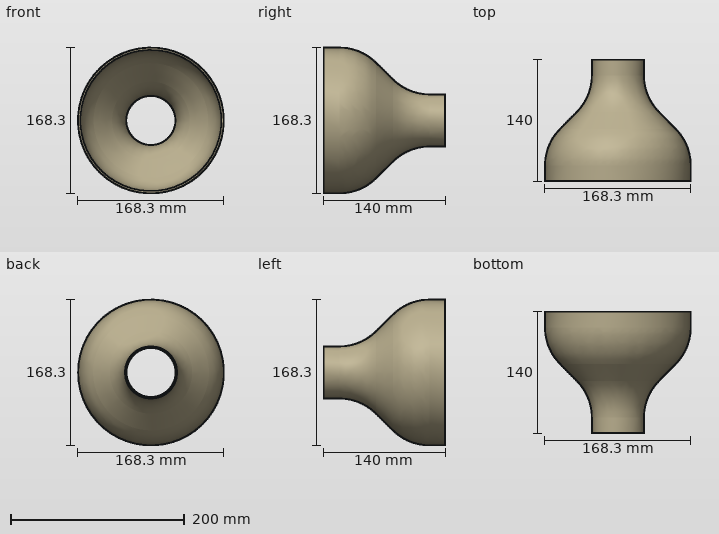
import cadquery as cq
import math

mouth_diameter = 168.3
mouth_bore = 162.5
neck_diameter = 60.3
neck_bore = 56.4
length = 140.0
collar_length = 18.0
bend_radius = 60.0

mouth_radius = mouth_diameter / 2
neck_radius = neck_diameter / 2
mouth_wall = (mouth_diameter - mouth_bore) / 2
neck_wall = (neck_diameter - neck_bore) / 2

mouth_face = -length / 2
neck_face = length / 2
shoulder_start = mouth_face + collar_length
throat_end = neck_face - collar_length


def reducer_body(wide_radius, narrow_radius, shoulder_bend, throat_bend):
    """Solid of revolution: collar, shoulder arc, tangent cone, throat arc, collar."""
    axial = throat_end - shoulder_start
    radial = wide_radius - narrow_radius
    bend_sum = shoulder_bend + throat_bend
    centre_offset = bend_sum - radial
    centre_distance = math.hypot(axial, centre_offset)
    cone_angle = math.asin(bend_sum / centre_distance) - math.atan2(centre_offset, axial)

    def shoulder_point(angle):
        return (
            wide_radius - shoulder_bend * (1 - math.cos(angle)),
            shoulder_start + shoulder_bend * math.sin(angle),
        )

    def throat_point(angle):
        return (
            narrow_radius + throat_bend * (1 - math.cos(angle)),
            throat_end - throat_bend * math.sin(angle),
        )

    return (
        cq.Workplane("XY")
        .moveTo(0, mouth_face)
        .lineTo(wide_radius, mouth_face)
        .lineTo(wide_radius, shoulder_start)
        .threePointArc(shoulder_point(cone_angle / 2), shoulder_point(cone_angle))
        .lineTo(*throat_point(cone_angle))
        .threePointArc(throat_point(cone_angle / 2), (narrow_radius, throat_end))
        .lineTo(narrow_radius, neck_face)
        .lineTo(0, neck_face)
        .close()
        .revolve(360, (0, 0, 0), (0, 1, 0))
    )


outer_body = reducer_body(mouth_radius, neck_radius, bend_radius, bend_radius)

inner_body = reducer_body(
    mouth_radius - mouth_wall,
    neck_radius - neck_wall,
    bend_radius - mouth_wall,
    bend_radius + neck_wall,
)

result = outer_body.cut(inner_body)